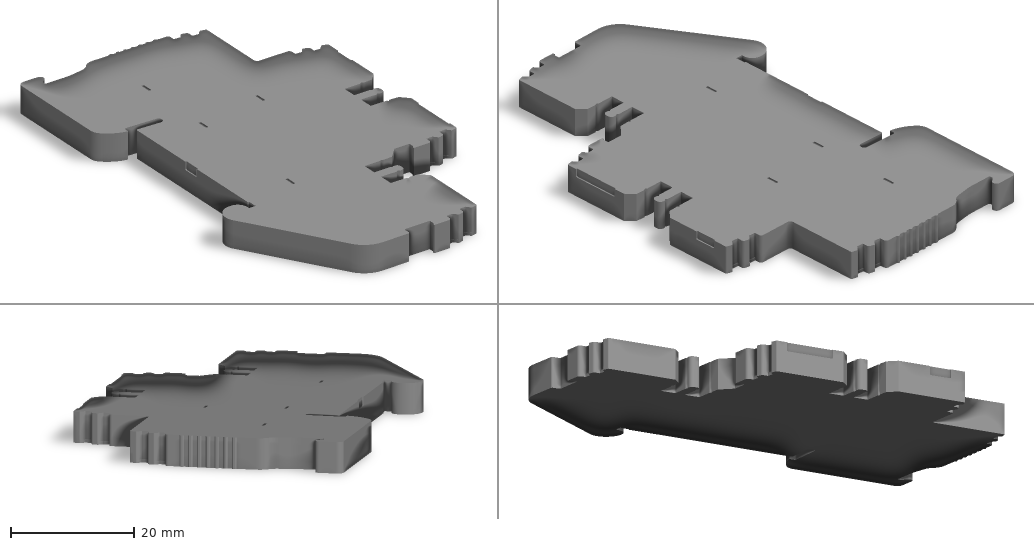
import cadquery as cq
import math

length = 79.8
height = 49.1
thickness = 5.2

deck_drop = 13.1
upper_axis = 35.9
upper_half_width = 19.8
lower_right_shift = 24.0
lower_left_shift = 15.6
step_round = 0.6

small_round = 0.3

upper_left = upper_axis - upper_half_width
upper_right = upper_axis + upper_half_width
lower_deck = height - deck_drop
lower_left = upper_left - lower_left_shift
lower_right = upper_right + lower_right_shift
lower_axis = upper_axis + lower_right_shift

tooth_count = 2
tooth_step_out = 0.8
tooth_ledge_depth = 6.3
tooth_step_down = tooth_ledge_depth / tooth_count
tooth_crest = 1.75
tooth_tip = 1.4
tooth_tip_down = 1.2
notch_top = 2.3
notch_top_down = 1.9
notch_bottom = 2.2
tooth_round = 0.2
ledge_round = 0.55
root_web = 0.15
root_web_thickness = 0.55

funnel_half = 5.3
throat_half = 3.75
funnel_depth = 1.4
slot_half = 3.7
slot_depth = 6.95
pin_half = 0.95
pin_down = 2.15
pin_round = 0.7
groove_down = 3.5
groove_half = 0.3
groove_depth = 0.2

marker_inset = 1.6
marker_lip_depth = 0.2
marker_lip_width = 0.4
upper_marker_y = 39.5
lower_marker_top = 26.5
lower_marker_bottom = 21.4
shoulder_y = 36.55

rib_count = 7
rib_span = 8.8
rib_pitch = rib_span / (rib_count - 1)
rib_first_y = 18.1
rib_height = 0.2
rib_base_half = 0.4
rib_crest_half = 0.15

foot_round = 1.0
latch_top = 4.6
latch_width = 1.0
latch_round = 0.7
latch_floor = 3.6
latch_floor_x = 1.9
neck_x = 2.6
neck_bend_y = 8.3
neck_bend_radius = 10.4
waist_x = 2.0
waist_y = 12.05
waist_radius = 2.15
hip_y = 13.3
hip_radius = 2.3
slit_left = 22.9
slit_right = 24.3
slit_top = 11.7
slit_lean = 0.2
slit_round = 0.6
toe_top = 4.9
toe_tip = 24.0
toe_knee_x = 23.7
toe_knee_y = 2.8
toe_knee_radius = 7.35
sole_end = 21.4
sole_radius = 2.4
rail_face = 6.2

hook_left = 55.05
hook_top = 5.2
hook_radius = 2.9
hook_shoulder_radius = 1.9
hook_throat = 57.45
relief_left = 55.6
relief_height = 0.2
slope_angle = math.radians(31.2)
slope_corner_y = 12.9
slope_corner_radius = 5.1
flank_bulge_y = 15.9

rim_recesses = [
    (38.1, 41.3, rail_face),
    (20.6, 24.65, height),
    (43.25, 52.0, height),
]
rim_recess_height = 1.5
rim_recess_depth = 0.2
rim_recess_round = 0.2

slit_marks = [(26.9, 29.1), (13.3, 16.1), (29.3, 16.1), (53.6, 16.1)]
slit_mark_length = 2.15
slit_mark_width = 0.5
slit_mark_depth = 0.2


def tooth_flank(flank_x, deck_y, inward, web):
    """Toothed flank from the marker ledge up to the deck; inward is +1 or -1 along X.

    web is the material left standing in the root of every notch.
    """
    points = [
        (0, -tooth_ledge_depth, ledge_round),
    ]
    for step in reversed(range(tooth_count)):
        out = step * tooth_step_out
        down = step * tooth_step_down
        crest_round = tooth_round if step == 0 else 2 * tooth_round
        crest_x = tooth_crest - out
        points += [
            (notch_bottom - web - out, -tooth_step_down - down, 0),
            (notch_top - web - out, -notch_top_down - down, 0),
            (tooth_tip - out, -tooth_tip_down - down, tooth_round),
            (crest_x, -down, crest_round),
        ]
    return [(flank_x + inward * x, deck_y + y, r) for x, y, r in points]


def groove(wall_x, deck_y, into):
    """V groove in a clamp wall, listed from top to bottom; into points into the material."""
    middle = deck_y - groove_down
    return [
        (wall_x, middle + groove_half, 0),
        (wall_x + into * groove_depth, middle, 0),
        (wall_x, middle - groove_half, 0),
    ]


def clamp_opening(axis_x, deck_y):
    """Clamp opening from the top of its left wall across the pin to the right deck edge."""
    floor_y = deck_y - slot_depth
    pin_y = deck_y - pin_down
    throat_y = deck_y - funnel_depth

    left_wall = [(axis_x - throat_half, throat_y, 0)]
    left_wall += groove(axis_x - slot_half, deck_y, -1)
    left_wall += [(axis_x - slot_half, floor_y, 0)]

    pin = [(axis_x - pin_half, floor_y, 0)]
    pin += reversed(groove(axis_x - pin_half, deck_y, 1))
    pin += [(axis_x - pin_half, pin_y, pin_round), (axis_x + pin_half, pin_y, pin_round)]
    pin += groove(axis_x + pin_half, deck_y, -1)
    pin += [(axis_x + pin_half, floor_y, 0)]

    right_wall = [(axis_x + slot_half, floor_y, 0)]
    right_wall += reversed(groove(axis_x + slot_half, deck_y, 1))
    right_wall += [(axis_x + throat_half, throat_y, 0), (axis_x + funnel_half, deck_y, 0)]
    return left_wall + pin + right_wall


def marker_ledge(flank_x, ledge_y):
    """Underside of a right-hand flank, with a small lip at its outer end."""
    return [
        (flank_x, ledge_y - marker_lip_depth, 0),
        (flank_x - marker_lip_width, ledge_y - marker_lip_depth, 0),
        (flank_x - marker_lip_width, ledge_y, 0),
        (flank_x - marker_inset, ledge_y, 0),
    ]


def grip_ribs():
    """Row of small ribs up the left flank."""
    points = []
    for index in range(rib_count):
        y = rib_first_y + index * rib_pitch
        points += [
            (lower_left, y - rib_base_half, 0),
            (lower_left - rib_height, y - rib_crest_half, 0),
            (lower_left - rib_height, y + rib_crest_half, 0),
            (lower_left, y + rib_base_half, 0),
        ]
    return points


def left_latch():
    """Left foot from its underside up round the latch and neck to the flank."""
    return [
        (0, 0, foot_round),
        (0, latch_top, latch_round),
        (latch_width, latch_top, small_round),
        (latch_floor_x, latch_floor, small_round),
        (neck_x, latch_floor, small_round),
        (neck_x, neck_bend_y, neck_bend_radius),
        (waist_x, waist_y, waist_radius),
        (lower_left, hip_y, hip_radius),
    ]


def right_hook():
    """Right foot from the flank down the sloping edge and round the hook to the rail face."""
    slope_run = length - hook_left
    slope_end_y = slope_corner_y - slope_run * math.tan(slope_angle)
    return [
        (length, flank_bulge_y, 0),
        (length, slope_corner_y, slope_corner_radius),
        (hook_left, slope_end_y, hook_radius),
        (hook_left, hook_top, hook_shoulder_radius),
        (hook_throat, hook_top, 0),
        (hook_throat, rail_face + 2 * relief_height, 0),
        (hook_throat - relief_height, rail_face + relief_height, 0),
        (relief_left, rail_face + relief_height, 0),
        (relief_left, rail_face, 0),
    ]


def spring_slit():
    """Rail face corner, the narrow slit above it and the toe of the left foot."""
    return [
        (slit_right, rail_face, small_round),
        (slit_right + slit_lean, slit_top, slit_round),
        (slit_left + slit_lean, slit_top, slit_round),
        (slit_left, toe_top, small_round),
        (toe_tip, toe_top, 0),
        (toe_knee_x, toe_knee_y, toe_knee_radius),
        (sole_end, 0, sole_radius),
    ]


def plate_outline(web):
    """Corner points (x, y, corner radius) of the whole plate, clockwise."""
    points = left_latch()
    points += grip_ribs()
    points += tooth_flank(lower_left, lower_deck, 1, web)
    points += [(upper_left, lower_deck, step_round)]
    points += tooth_flank(upper_left, height, 1, web)
    points += [(upper_axis - funnel_half, height, 0)]
    points += clamp_opening(upper_axis, height)
    points += reversed(tooth_flank(upper_right, height, -1, web))
    points += marker_ledge(upper_right, upper_marker_y)
    points += [(upper_right - marker_inset, shoulder_y, 0)]
    points += clamp_opening(lower_axis, lower_deck)
    points += reversed(tooth_flank(lower_right, lower_deck, -1, web))
    points += marker_ledge(lower_right, lower_marker_top)
    points += [
        (lower_right - marker_inset, lower_marker_bottom, small_round),
        (lower_right, lower_marker_bottom, small_round),
    ]
    points += right_hook()
    points += spring_slit()
    return points


def rounded_corner(before, corner, after):
    """Start, middle and end of the tangent arc that rounds a corner."""
    x, y, radius = corner
    to_before = math.atan2(before[1] - y, before[0] - x)
    to_after = math.atan2(after[1] - y, after[0] - x)
    half_turn = math.remainder(to_after - to_before, 2 * math.pi) / 2
    half_angle = abs(half_turn)
    bisector = to_before + half_turn
    tangent = radius / math.tan(half_angle)
    to_middle = radius / math.sin(half_angle) - radius
    reaches = [(to_before, tangent), (bisector, to_middle), (to_after, tangent)]
    return [(x + reach * math.cos(a), y + reach * math.sin(a)) for a, reach in reaches]


def extrude_outline(points, depth):
    """Solid from Z = 0 with straight edges and rounded corners."""
    wire = None
    for index, corner in enumerate(points):
        before = points[index - 1]
        after = points[(index + 1) % len(points)]
        if corner[2] > 0:
            start, middle, end = rounded_corner(before, corner, after)
        else:
            start = corner[:2]
        wire = wire.lineTo(*start) if wire else cq.Workplane("XY").moveTo(*start)
        if corner[2] > 0:
            wire = wire.threePointArc(middle, end)
    return wire.close().extrude(depth)


def rim_recess(left, right, rim_y):
    """Cutter for a shallow rim recess with rounded lower corners."""
    return (
        cq.Workplane("XY")
        .box(right - left, 2 * rim_recess_depth, 2 * rim_recess_height)
        .edges("|Y")
        .fillet(rim_recess_round)
        .translate(((left + right) / 2, rim_y, thickness))
    )


result = extrude_outline(plate_outline(0), thickness)
result = result.union(extrude_outline(plate_outline(root_web), root_web_thickness))

for recess in rim_recesses:
    result = result.cut(rim_recess(*recess))

slit_cutters = (
    cq.Workplane("XY", origin=(0, 0, thickness))
    .pushPoints(slit_marks)
    .rect(slit_mark_length, slit_mark_width)
    .extrude(-slit_mark_depth)
)
result = result.cut(slit_cutters)